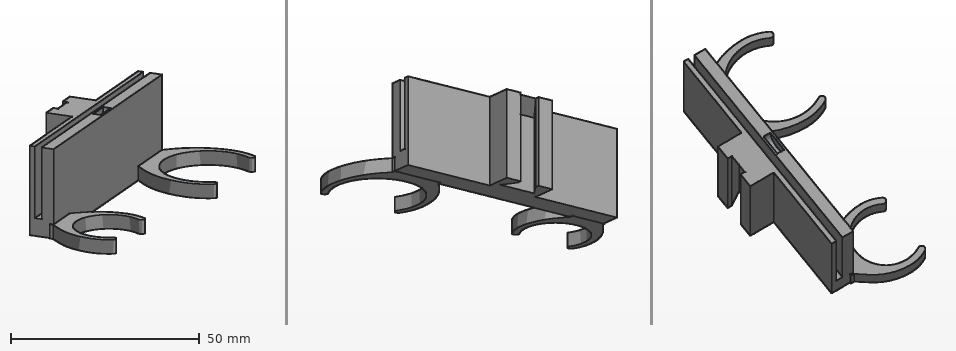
import cadquery as cq
import math

height = 25.0
plate_length = 69.0
block_width = 15.0
plate_front_x = 7.55
card_slot_front_x = 9.05
card_slot_rear_x = 11.0
plate_rear_x = 14.5
card_slot_floor = 5.0

neck_half_width = 3.0
neck_depth = 1.3
dovetail_half_width = 5.6
dovetail_depth = 5.5
stop_height = 3.7

notch_front_x = 11.7
notch_rear_x = 13.9
notch_radius = 3.2

clip_height = 4.0
clip_wall = 2.0
clip_embed = 1.0
arm_end_angle = 30.0
large_radius = 15.0
large_center = (31.45, 26.9)
large_foot_half_width = 7.55
small_radius = 11.5
small_center = (28.4, -29.55)
small_foot_half_width = 5.3
flank_radius_ratio = 1.5
flank_angle = 40.0


def make_clip(center, outer_radius, foot_half_width):
    """Open ring with rounded arm ends and a flared foot set into the plate."""
    center_x, center_y = center
    middle_radius = outer_radius - clip_wall / 2
    inner_radius = outer_radius - clip_wall
    half_angle = math.radians(arm_end_angle)
    foot_x = plate_rear_x - clip_embed - center_x
    face_x = plate_rear_x - center_x

    flank_radius = flank_radius_ratio * outer_radius

    def flank_point(degrees):
        angle = math.radians(degrees)
        return (-flank_radius * math.sin(angle),
                outer_radius - flank_radius * (1 - math.cos(angle)))

    def mirrored(point):
        return (point[0], -point[1])

    middle = flank_point(flank_angle / 2)
    end = flank_point(flank_angle)
    foot = (
        cq.Workplane("XY")
        .moveTo(0, outer_radius)
        .threePointArc(middle, end)
        .lineTo(face_x, foot_half_width)
        .lineTo(foot_x, foot_half_width)
        .lineTo(foot_x, -foot_half_width)
        .lineTo(face_x, -foot_half_width)
        .lineTo(*mirrored(end))
        .threePointArc(mirrored(middle), (0, -outer_radius))
        .close()
        .extrude(clip_height)
    )

    reach = 2 * outer_radius
    arm_direction = (math.sin(half_angle), math.cos(half_angle))
    ray_end = (reach * arm_direction[0], reach * arm_direction[1])
    mouth = (
        cq.Workplane("XY")
        .polyline([(0, 0), ray_end, (reach, 0), mirrored(ray_end)])
        .close()
        .extrude(clip_height)
    )
    ring = cq.Workplane("XY").circle(outer_radius).extrude(clip_height).cut(mouth)
    arm_end = (middle_radius * arm_direction[0], middle_radius * arm_direction[1])
    arm_tips = (
        cq.Workplane("XY")
        .pushPoints([arm_end, mirrored(arm_end)])
        .circle(clip_wall / 2)
        .extrude(clip_height)
    )
    bore = cq.Workplane("XY").circle(inner_radius).extrude(clip_height)
    clip = foot.union(ring).cut(bore).union(arm_tips)
    return clip.translate((center_x, center_y, 0))


def box_between(x_min, x_max, width, z_min, z_max):
    """Box centered on Y = 0."""
    return (
        cq.Workplane("XY")
        .box(x_max - x_min, width, z_max - z_min, centered=(False, True, False))
        .translate((x_min, 0, z_min))
    )


def make_dovetail_groove():
    """Groove that runs up from the base and ends under the sloping stop."""
    groove = (
        cq.Workplane("XY")
        .polyline([
            (neck_depth, neck_half_width),
            (dovetail_depth, dovetail_half_width),
            (dovetail_depth, -dovetail_half_width),
            (neck_depth, -neck_half_width),
        ])
        .close()
        .extrude(height)
    )
    stop = (
        cq.Workplane("XZ")
        .polyline([
            (neck_depth, height),
            (dovetail_depth, height),
            (dovetail_depth, height - stop_height),
        ])
        .close()
        .extrude(dovetail_half_width, both=True)
    )
    neck = box_between(0, neck_depth, 2 * neck_half_width, 0, height)
    return groove.cut(stop).union(neck)


def make_holder(clips):
    plate = box_between(plate_front_x, plate_rear_x, plate_length, 0, height)
    block = box_between(0, plate_front_x, block_width, 0, height)
    card_slot = box_between(card_slot_front_x, card_slot_rear_x, plate_length, card_slot_floor, height)
    notch = (
        cq.Workplane("YZ", origin=(notch_front_x, 0, height))
        .circle(notch_radius)
        .extrude(notch_rear_x - notch_front_x)
    )
    holder = plate.union(block).cut(card_slot).cut(make_dovetail_groove()).cut(notch)
    for clip in clips:
        holder = holder.cut(clip)
    return holder


clip_sizes = [
    (large_center, large_radius, large_foot_half_width),
    (small_center, small_radius, small_foot_half_width),
]
clips = [make_clip(*sizes) for sizes in clip_sizes]
holder = make_holder(clips)

result = cq.Compound.makeCompound([holder.val(), *[clip.val() for clip in clips]])